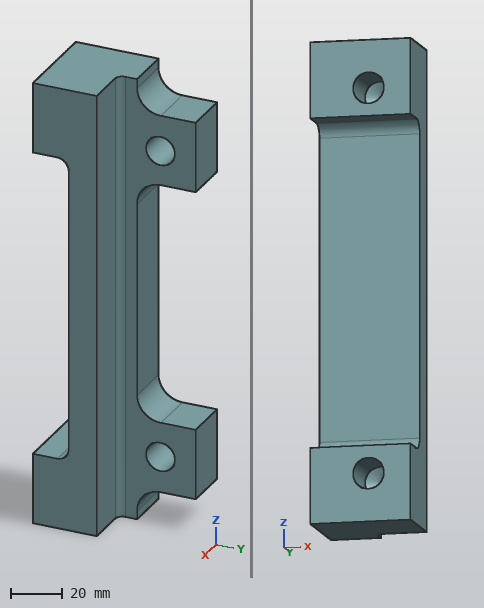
import cadquery as cq
import math

width = 40.0
depth = 60.29
height = 190.0

foot_height = 30.0
web_thickness = 20.0
lug_length = 25.0
back_face = depth - lug_length
web_front = back_face - web_thickness
foot_fillet = 5.0
lug_height = 30.0
lug_end_gap = 13.75
lug_fillet = 10.0

lug_width = 20.0
step_length = 33.0
step_front = depth - step_length
step_fillet = 3.0

hole_diameter = 12.25
lug_hole_edge = 15.0
lug_hole_end = 29.0
foot_hole_x = 23.25
foot_hole_end = 19.0
foot_hole_depth = 20.0
drill_point_angle = 118.0


def make_body():
    """Full-width bracket profile with filleted recesses, extruded along X."""
    half_height = height / 2
    lug_top = half_height - lug_end_gap
    lug_bottom = lug_top - lug_height
    foot_bottom = half_height - foot_height
    upper_half = (
        cq.Workplane("YZ")
        .moveTo(0, half_height)
        .lineTo(back_face, half_height)
        .lineTo(back_face, lug_top + lug_fillet)
        .radiusArc((back_face + lug_fillet, lug_top), -lug_fillet)
        .lineTo(depth, lug_top)
        .lineTo(depth, lug_bottom)
        .lineTo(back_face + lug_fillet, lug_bottom)
        .radiusArc((back_face, lug_bottom - lug_fillet), -lug_fillet)
        .lineTo(back_face, 0)
        .lineTo(web_front, 0)
        .lineTo(web_front, foot_bottom - foot_fillet)
        .radiusArc((web_front - foot_fillet, foot_bottom), -foot_fillet)
        .lineTo(0, foot_bottom)
        .close()
        .extrude(width)
    )
    return upper_half.union(upper_half.mirror("XY")).clean()


def make_step_cutter():
    """Full-height block behind the step, with its inner corner rounded."""
    return (
        cq.Workplane("XY")
        .box(width - lug_width, step_length, height, centered=(False, False, True))
        .translate((lug_width, step_front, 0))
        .edges("|Z and <X and <Y")
        .fillet(step_fillet)
    )


def make_lug_hole(side):
    """Through hole along X in the upper (+1) or lower (-1) lug."""
    hole_z = side * (height / 2 - lug_hole_end)
    return (
        cq.Workplane("YZ")
        .center(depth - lug_hole_edge, hole_z)
        .circle(hole_diameter / 2)
        .extrude(width)
    )


def make_foot_hole(side):
    """Blind drilled hole along Y with a conical bottom in one foot."""
    radius = hole_diameter / 2
    point_length = radius / math.tan(math.radians(drill_point_angle / 2))
    hole_z = side * (height / 2 - foot_hole_end)
    return (
        cq.Workplane("XY")
        .polyline([
            (0, 0),
            (radius, 0),
            (radius, foot_hole_depth),
            (0, foot_hole_depth + point_length),
        ])
        .close()
        .revolve(360, (0, 0, 0), (0, 1, 0))
        .translate((foot_hole_x, 0, hole_z))
    )


result = make_body().cut(make_step_cutter())
for side in (1, -1):
    result = result.cut(make_lug_hole(side)).cut(make_foot_hole(side))